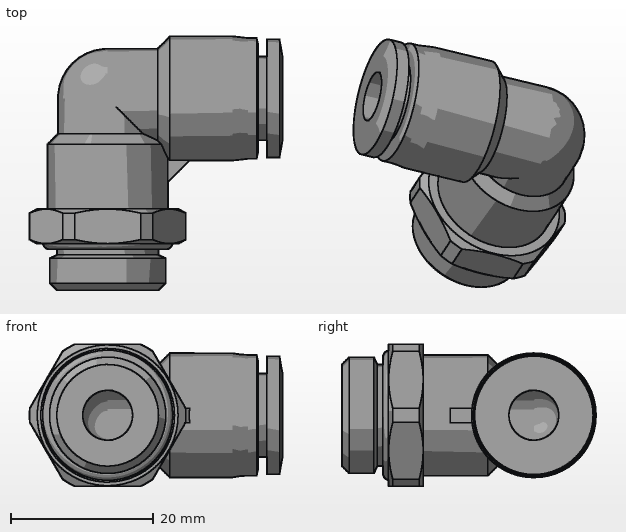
import cadquery as cq
import math


elbow_radius = 7.0
bore_radius = 3.5

socket_radius = 8.75
socket_cone_start = 7.0
socket_cone_end = socket_cone_start + socket_radius - elbow_radius
socket_taper_start = 17.5
socket_band_start = 19.75
socket_band_end = 20.95
socket_end = 21.15
socket_band_radius = 8.5
socket_mouth_radius = 7.55

collar_neck_radius = 5.9
collar_flange_radius = 8.33
collar_flange_start = 22.38
collar_flange_end = 24.15
collar_end = 24.6
collar_face_radius = 5.9

sleeve_radius = 8.5
sleeve_cone_start = 4.97
sleeve_cone_end = sleeve_cone_start + sleeve_radius - elbow_radius

hex_across_flats = 20.0
hex_start = 15.5
hex_end = 20.45
hex_corner_radius = 11.0
hex_face_radius = 9.9
hex_chamfer_height = 0.6

stud_radius = 8.2
stud_neck_radius = 7.15
stud_chamfer = stud_radius - stud_neck_radius
stud_neck_end = 22.0
stud_shoulder = 22.5
stud_end = 27.0

ring_tube_radius = 1.0
ring_center_radius = stud_neck_radius + ring_tube_radius
ring_protrusion = 0.8
ring_center = hex_end + ring_protrusion - ring_tube_radius
recess_radius = 9.4
recess_floor = ring_center - ring_tube_radius

web_width = 2.05
web_leg = 20.25


def revolve_about_x(points):
    """Revolve a profile of (distance along +X, radius) points."""
    profile = cq.Workplane("XY").polyline(points).close()
    return profile.revolve(360, (0, 0, 0), (1, 0, 0))


def revolve_about_y(points):
    """Revolve a profile of (radius, distance along -Y) points."""
    profile = cq.Workplane("XY").polyline([(radius, -distance) for radius, distance in points]).close()
    return profile.revolve(360, (0, 0, 0), (0, 1, 0))


def make_tube_arm():
    return revolve_about_x([
        (0, 0),
        (0, elbow_radius),
        (socket_cone_start, elbow_radius),
        (socket_cone_end, socket_radius),
        (socket_taper_start, socket_radius),
        (socket_band_start, socket_band_radius),
        (socket_band_end, socket_band_radius),
        (socket_end, socket_mouth_radius),
        (socket_end, collar_neck_radius),
        (collar_flange_start, collar_neck_radius),
        (collar_flange_start, collar_flange_radius),
        (collar_flange_end, collar_flange_radius),
        (collar_end, collar_face_radius),
        (collar_end, 0),
    ])


def make_stud_arm():
    return revolve_about_y([
        (0, 0),
        (elbow_radius, 0),
        (elbow_radius, sleeve_cone_start),
        (sleeve_radius, sleeve_cone_end),
        (sleeve_radius, hex_start),
        (stud_neck_radius, hex_start),
        (stud_neck_radius, stud_neck_end),
        (stud_radius, stud_shoulder),
        (stud_radius, stud_end - stud_chamfer),
        (stud_radius - stud_chamfer, stud_end),
        (0, stud_end),
    ])


def make_hexagon():
    """Hexagon with corners on +X and -X, turned down at its corners and chamfered at both faces."""
    corner_to_corner = hex_across_flats / math.cos(math.pi / 6)
    prism = (
        cq.Workplane("XZ", origin=(0, -hex_start, 0))
        .polygon(6, corner_to_corner)
        .extrude(hex_end - hex_start)
    )
    turned_blank = revolve_about_y([
        (0, hex_start),
        (hex_face_radius, hex_start),
        (hex_corner_radius, hex_start + hex_chamfer_height),
        (hex_corner_radius, hex_end - hex_chamfer_height),
        (hex_face_radius, hex_end),
        (0, hex_end),
    ])
    return prism.intersect(turned_blank)


def make_web():
    return (
        cq.Workplane("XY")
        .polyline([(0, 0), (web_leg, 0), (0, -web_leg)])
        .close()
        .extrude(web_width / 2, both=True)
    )


def make_bore():
    """Round passage with a spherical corner, open at both ends."""
    corner = cq.Workplane("XY").sphere(bore_radius)
    tube_passage = cq.Workplane("YZ").circle(bore_radius).extrude(collar_end)
    stud_passage = cq.Workplane("XZ").circle(bore_radius).extrude(stud_end)
    return corner.union(tube_passage).union(stud_passage)


def make_ring_recess():
    return revolve_about_y([
        (stud_neck_radius, recess_floor),
        (recess_radius, recess_floor),
        (recess_radius, hex_end),
        (stud_neck_radius, hex_end),
    ])


def make_fitting():
    elbow_corner = cq.Workplane("XY").sphere(elbow_radius)
    outside = (
        elbow_corner
        .union(make_tube_arm())
        .union(make_stud_arm())
        .union(make_hexagon())
        .union(make_web())
    )
    return outside.cut(make_ring_recess()).cut(make_bore())


def make_sealing_ring():
    return (
        cq.Workplane("XY")
        .center(ring_center_radius, -ring_center)
        .circle(ring_tube_radius)
        .revolve(360, (-ring_center_radius, 0, 0), (-ring_center_radius, 1, 0))
    )


fitting = make_fitting()
sealing_ring = make_sealing_ring()

result = cq.Compound.makeCompound([fitting.solids().val(), sealing_ring.val()])